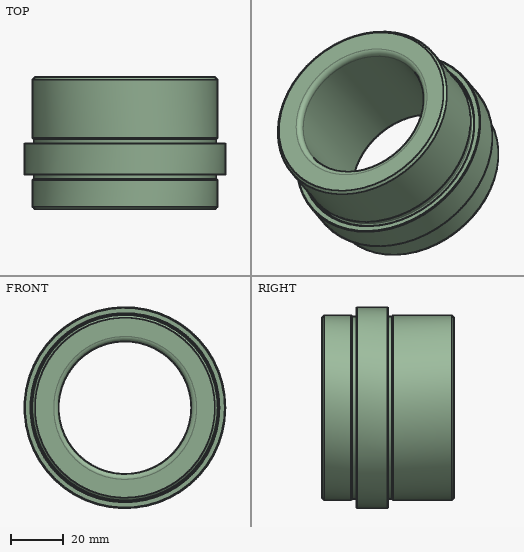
import cadquery as cq
import math

LENGTH = 50.0
BODY_RADIUS = 70.0 / 2
BORE_RADIUS = 50.0 / 2
COLLAR_RADIUS = 76.0 / 2
COLLAR_WIDTH = 12.0

BODY_CHAMFER = 1.0
BORE_FILLET = 2.0
COLLAR_CHAMFER = 0.3

UNDERCUT_WIDTH = 2.0
UNDERCUT_HEIGHT = 0.75
UNDERCUT_DEPTH = 0.5
UNDERCUT_FILLET = 0.5

REAR_END = LENGTH / 2
COLLAR_REAR = 0.0
COLLAR_FRONT = COLLAR_REAR - COLLAR_WIDTH


def make_body():
    """Plain tube with chamfered outer rims and rounded bore mouths."""
    tube = (
        cq.Workplane("XZ", origin=(0, REAR_END, 0))
        .circle(BODY_RADIUS)
        .circle(BORE_RADIUS)
        .extrude(LENGTH)
    )
    rims = cq.selectors.RadiusNthSelector(-1)
    mouths = cq.selectors.RadiusNthSelector(0)
    tube = tube.edges("%CIRCLE").edges(rims).chamfer(BODY_CHAMFER)
    return tube.edges("%CIRCLE").edges(mouths).fillet(BORE_FILLET)


def make_collar():
    """Ring around the body with chamfered outer edges."""
    mid_wall_radius = (BORE_RADIUS + BODY_RADIUS) / 2
    ring = (
        cq.Workplane("XZ", origin=(0, COLLAR_REAR, 0))
        .circle(COLLAR_RADIUS)
        .circle(mid_wall_radius)
        .extrude(COLLAR_WIDTH)
    )
    return ring.edges(cq.selectors.RadiusNthSelector(-1)).chamfer(COLLAR_CHAMFER)


def make_undercut(face_y, outward):
    """Ring to remove at a collar face; outward is +1 or -1, pointing away from the collar along Y."""
    floor_radius = BODY_RADIUS - UNDERCUT_DEPTH
    top_radius = BODY_RADIUS + UNDERCUT_HEIGHT
    pocket_y = face_y - outward * UNDERCUT_DEPTH
    entry_y = face_y + outward * UNDERCUT_WIDTH
    arc_reach = UNDERCUT_FILLET * math.sqrt(0.5)
    arc_center_radius = floor_radius + UNDERCUT_FILLET
    arc_center_y = pocket_y + outward * UNDERCUT_FILLET
    arc_middle = (arc_center_radius - arc_reach, arc_center_y - outward * arc_reach)
    profile = (
        cq.Workplane("XY")
        .moveTo(BODY_RADIUS, entry_y)
        .lineTo(floor_radius, entry_y - outward * UNDERCUT_DEPTH)
        .lineTo(floor_radius, arc_center_y)
        .threePointArc(arc_middle, (arc_center_radius, pocket_y))
        .lineTo(top_radius - UNDERCUT_DEPTH, pocket_y)
        .lineTo(top_radius, face_y)
        .lineTo(top_radius, entry_y)
        .close()
    )
    return profile.revolve(360, (0, 0, 0), (0, 1, 0))


result = make_body().union(make_collar())
for face_y, outward in ((COLLAR_REAR, 1), (COLLAR_FRONT, -1)):
    result = result.cut(make_undercut(face_y, outward))